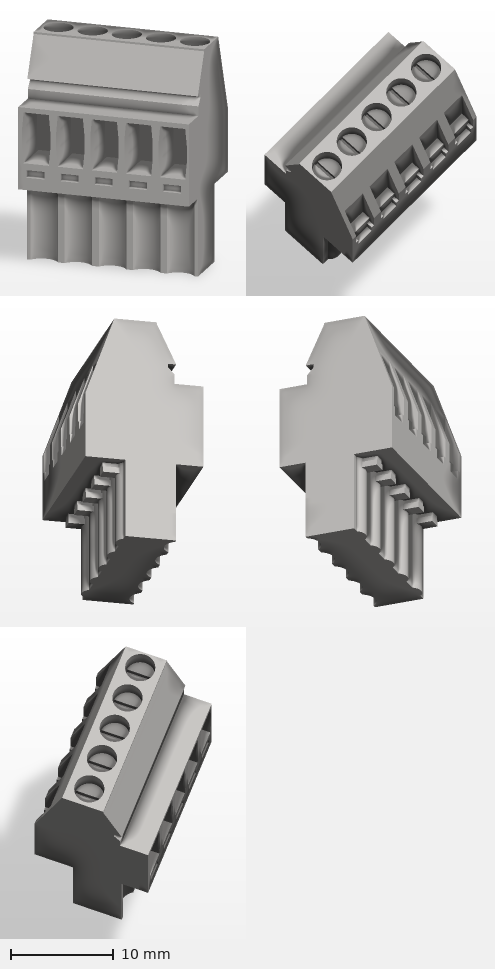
import cadquery as cq


POLES = 5
WIDTH = 17.5
PITCH = WIDTH / POLES
ENTRY_OFFSET = 0.1

DEPTH = 11.82
HEIGHT = 22.6
PLUG_FRONT = 2.73
PLUG_BACK = 7.82
BLOCK_BOTTOM = 7.95
BLOCK_TOP = 16.35
BACK_SLOPE_START = 14.6
TOP_FRONT = 4.65
TOP_BACK = 8.93
TOP_LIP = 0.2
LATCH_TIP = PLUG_FRONT
LATCH_HEIGHT = 18.37
NOTCH_BOTTOM_Y = 3.55
NOTCH_WALL_BOTTOM = 18.01
NECK_FRONT = 2.9
NECK_TOP = 17.31

FLUTE_WIDTH = 2.82
FLUTE_DEPTH = 0.77
BUMP_WIDTH = 2.03
BUMP_HEIGHT = 0.52

ENTRY_BOTTOM = 10.67
ENTRY_TOP = 15.85
ENTRY_END_WIDTH = 2.58
ENTRY_MID_WIDTH = 2.94
ENTRY_DEPTH = 4.52

SLOT_WIDTH = 1.88
SLOT_BOTTOM = 9.22
SLOT_TOP = 10.0
SLOT_DEPTH = 0.55

SCREW_DIAMETER = 2.94
SCREW_Y = 6.8
SCREW_TOP = 20.8
SCREW_BOTTOM = 17.18
DRIVER_SLOT_WIDTH = 0.38
DRIVER_SLOT_DEPTH = 0.56

RECESS_WIDTH = 2.53
CHANNEL_WIDTH = 1.85
RECESS_FRONT = 10.3
RECESS_STEP = 11.2
RECESS_FLOOR = 13.55
STEP_FLOOR = 12.65
CHANNEL_FLOOR = 11.75

KEY_HEAD_WIDTH = 1.35
KEY_NECK_WIDTH = 1.05
KEY_BACK = 9.79
KEY_HEAD_TOP = 7.53
KEY_BOTTOM = 6.94


def pole_positions(offset=0.0):
    """X positions of the poles, shifted by an offset."""
    return [(i - (POLES - 1) / 2) * PITCH + offset for i in range(POLES)]


def box(x_center, width, y_range, z_range):
    """Box centred on x_center that spans the given Y and Z ranges."""
    y0, y1 = y_range
    z0, z1 = z_range
    return cq.Workplane("XY").box(width, y1 - y0, z1 - z0, centered=(True, False, False)).translate(
        (x_center, y0, z0)
    )


def housing_body():
    """Profile of block, plug and latching nose, extruded across all poles."""
    profile = [
        (PLUG_FRONT, 0),
        (PLUG_BACK, 0),
        (PLUG_BACK, BLOCK_BOTTOM),
        (DEPTH, BLOCK_BOTTOM),
        (DEPTH, BACK_SLOPE_START),
        (TOP_BACK, HEIGHT),
        (TOP_FRONT, HEIGHT),
        (TOP_FRONT, HEIGHT - TOP_LIP),
        (LATCH_TIP, LATCH_HEIGHT),
        (NOTCH_BOTTOM_Y, LATCH_HEIGHT),
        (NOTCH_BOTTOM_Y, NOTCH_WALL_BOTTOM),
        (NECK_FRONT, NECK_TOP),
        (NECK_FRONT, BLOCK_TOP),
        (0, BLOCK_TOP),
        (0, BLOCK_BOTTOM),
        (PLUG_FRONT, BLOCK_BOTTOM),
    ]
    return cq.Workplane("YZ").polyline(profile).close().extrude(WIDTH / 2, both=True)


def plug_segment(x, y, width, rise):
    """Full-height plug segment whose chord lies at y and whose arc bulges towards +Y."""
    return (
        cq.Workplane("XY")
        .moveTo(x - width / 2, y)
        .threePointArc((x, y + rise), (x + width / 2, y))
        .close()
        .extrude(BLOCK_BOTTOM)
    )


def wire_entry(x):
    """Blind window with bowed sides in the front face."""
    mid_height = (ENTRY_BOTTOM + ENTRY_TOP) / 2
    end = ENTRY_END_WIDTH / 2
    mid = ENTRY_MID_WIDTH / 2
    return (
        cq.Workplane("XZ")
        .moveTo(x - end, ENTRY_BOTTOM)
        .lineTo(x + end, ENTRY_BOTTOM)
        .threePointArc((x + mid, mid_height), (x + end, ENTRY_TOP))
        .lineTo(x - end, ENTRY_TOP)
        .threePointArc((x - mid, mid_height), (x - end, ENTRY_BOTTOM))
        .close()
        .extrude(-ENTRY_DEPTH)
    )


def test_slot(x):
    """Small rectangular slot below a wire entry."""
    return box(x, SLOT_WIDTH, (0, SLOT_DEPTH), (SLOT_BOTTOM, SLOT_TOP))


def screw_cylinder(x, top):
    """Cylinder on the screw axis, from the bottom of the screw up to the given height."""
    return (
        cq.Workplane("XY", origin=(x, SCREW_Y, SCREW_BOTTOM))
        .circle(SCREW_DIAMETER / 2)
        .extrude(top - SCREW_BOTTOM)
    )


def back_recess(x):
    """Recess in the back slope whose floor steps down towards the back face."""
    upper = box(x, RECESS_WIDTH, (RECESS_FRONT, DEPTH), (RECESS_FLOOR, HEIGHT))
    step = box(x, RECESS_WIDTH, (RECESS_STEP, DEPTH), (STEP_FLOOR, HEIGHT))
    channel = box(x, CHANNEL_WIDTH, (RECESS_STEP, DEPTH), (CHANNEL_FLOOR, HEIGHT))
    return upper.union(step).union(channel)


def coding_key(x):
    """T-shaped key hanging under the block and rooted in the back of the plug."""
    neck = box(x, KEY_NECK_WIDTH, (PLUG_BACK, KEY_BACK), (KEY_HEAD_TOP, BLOCK_BOTTOM))
    head = box(x, KEY_HEAD_WIDTH, (PLUG_BACK, KEY_BACK), (KEY_BOTTOM, KEY_HEAD_TOP))
    return neck.union(head)


def make_housing():
    """Housing with its flutes, bumps, keys, recesses, slots, wire entries and screw holes."""
    body = housing_body()
    for x in pole_positions():
        body = body.union(plug_segment(x, PLUG_BACK, BUMP_WIDTH, BUMP_HEIGHT))
        body = body.union(coding_key(x))
        body = body.cut(plug_segment(x, PLUG_FRONT, FLUTE_WIDTH, FLUTE_DEPTH))
        body = body.cut(test_slot(x))
        body = body.cut(back_recess(x))
    for x in pole_positions(ENTRY_OFFSET):
        body = body.cut(wire_entry(x))
        body = body.cut(screw_cylinder(x, HEIGHT))
    return body


def make_screw(x):
    """Clamping screw with a driver slot running along Y."""
    driver_slot = box(
        x,
        DRIVER_SLOT_WIDTH,
        (SCREW_Y - SCREW_DIAMETER / 2, SCREW_Y + SCREW_DIAMETER / 2),
        (SCREW_TOP - DRIVER_SLOT_DEPTH, SCREW_TOP),
    )
    return screw_cylinder(x, SCREW_TOP).cut(driver_slot)


housing = make_housing()
screws = [make_screw(x) for x in pole_positions(ENTRY_OFFSET)]

result = cq.Compound.makeCompound([housing.val(), *[screw.val() for screw in screws]])